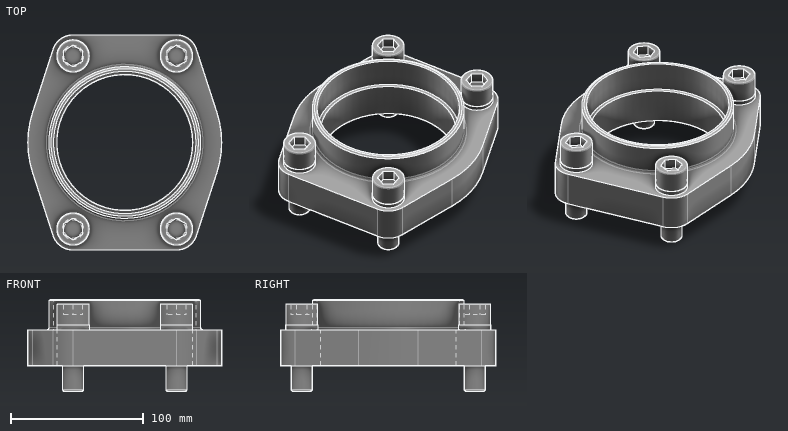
import math

import cadquery as cq

PLATE_THICKNESS = 27.0
PLATE_LENGTH_Y = 162.0
SIDE_ARC_RADIUS = 146.0 / 2

SCREW_PITCH_X = 77.8
SCREW_PITCH_Y = 130.2
SCREW_X = SCREW_PITCH_X / 2
SCREW_Y = SCREW_PITCH_Y / 2
CORNER_RADIUS = PLATE_LENGTH_Y / 2 - SCREW_Y

NECK_DIAMETER = 114.3
NECK_HEIGHT = 23.0
NECK_TOP_DIAMETER = 110.92
NECK_BORE_DIAMETER = 107.1
BEVEL_ANGLE = 30.0
NECK_FOOT_FILLET = 1.8
PLATE_BORE_DIAMETER = 102.0

SCREW_DIAMETER = 16.0
SCREW_LENGTH = 50.0
SCREW_TIP_CHAMFER = 1.2
HEAD_DIAMETER = 24.0
HEAD_HEIGHT = 16.0
HEAD_EDGE_FILLET = 0.6
SOCKET_ACROSS_FLATS = 14.0
SOCKET_DEPTH = 8.0
WASHER_DIAMETER = 24.4
WASHER_THICKNESS = 3.5


def make_plate():
    """Plate with round sides and corners joined by straight lines tangent to both."""
    corner_distance = math.hypot(SCREW_X, SCREW_Y)
    corner_direction = math.atan2(SCREW_Y, SCREW_X)
    normal = corner_direction - math.acos((SIDE_ARC_RADIUS - CORNER_RADIUS) / corner_distance)
    end_normal = math.pi / 2
    corner_mid = (normal + end_normal) / 2

    side_x = SIDE_ARC_RADIUS * math.cos(normal)
    side_y = SIDE_ARC_RADIUS * math.sin(normal)

    def corner_point(angle, sign_x, sign_y):
        x = SCREW_X + CORNER_RADIUS * math.cos(angle)
        y = SCREW_Y + CORNER_RADIUS * math.sin(angle)
        return (sign_x * x, sign_y * y)

    outline = cq.Workplane("XY").moveTo(side_x, -side_y)
    for sign in (1, -1):
        outline = (
            outline.threePointArc((sign * SIDE_ARC_RADIUS, 0), (sign * side_x, sign * side_y))
            .lineTo(*corner_point(normal, sign, sign))
            .threePointArc(corner_point(corner_mid, sign, sign), corner_point(end_normal, sign, sign))
            .lineTo(*corner_point(end_normal, -sign, sign))
            .threePointArc(corner_point(corner_mid, -sign, sign), corner_point(normal, -sign, sign))
            .lineTo(-sign * side_x, sign * side_y)
        )
    return outline.close().extrude(PLATE_THICKNESS)


def make_neck():
    """Solid neck with a concave foot and a welding bevel around the top."""
    neck_radius = NECK_DIAMETER / 2
    foot_radius = neck_radius + NECK_FOOT_FILLET
    top_radius = NECK_TOP_DIAMETER / 2
    bevel_height = (neck_radius - top_radius) * math.tan(math.radians(BEVEL_ANGLE))
    foot_top_z = PLATE_THICKNESS + NECK_FOOT_FILLET
    top_z = PLATE_THICKNESS + NECK_HEIGHT

    profile = (
        cq.Workplane("XZ")
        .moveTo(0, 0)
        .lineTo(foot_radius, 0)
        .lineTo(foot_radius, PLATE_THICKNESS)
        .radiusArc((neck_radius, foot_top_z), NECK_FOOT_FILLET)
        .lineTo(neck_radius, top_z - bevel_height)
        .lineTo(top_radius, top_z)
        .lineTo(0, top_z)
        .close()
    )
    return profile.revolve(360, (0, 0, 0), (0, 1, 0))


def make_bore():
    """Stepped through bore: narrow inside the plate, wider inside the neck."""
    plate_bore = cq.Workplane("XY").circle(PLATE_BORE_DIAMETER / 2).extrude(PLATE_THICKNESS)
    neck_bore = (
        cq.Workplane("XY")
        .workplane(offset=PLATE_THICKNESS)
        .circle(NECK_BORE_DIAMETER / 2)
        .extrude(NECK_HEIGHT)
    )
    return plate_bore.union(neck_bore)


def make_screw():
    """Socket head screw on its washer, with the washer resting on z = 0."""
    washer = cq.Workplane("XY").circle(WASHER_DIAMETER / 2).extrude(WASHER_THICKNESS)
    seat = cq.Workplane("XY").workplane(offset=WASHER_THICKNESS)
    shank = (
        seat.circle(SCREW_DIAMETER / 2)
        .extrude(-SCREW_LENGTH)
        .faces("<Z")
        .chamfer(SCREW_TIP_CHAMFER)
    )
    head = (
        seat.circle(HEAD_DIAMETER / 2)
        .extrude(HEAD_HEIGHT)
        .faces(">Z")
        .edges()
        .fillet(HEAD_EDGE_FILLET)
    )
    across_corners = SOCKET_ACROSS_FLATS / math.cos(math.radians(30))
    socket = (
        cq.Workplane("XY")
        .workplane(offset=WASHER_THICKNESS + HEAD_HEIGHT - SOCKET_DEPTH)
        .transformed(rotate=(0, 0, 90))
        .polygon(6, across_corners)
        .extrude(SOCKET_DEPTH)
    )
    return washer.union(shank).union(head).cut(socket)


result = make_plate().union(make_neck()).cut(make_bore())
screw = make_screw()
for x in (-SCREW_X, SCREW_X):
    for y in (-SCREW_Y, SCREW_Y):
        result = result.union(screw.translate((x, y, PLATE_THICKNESS)))